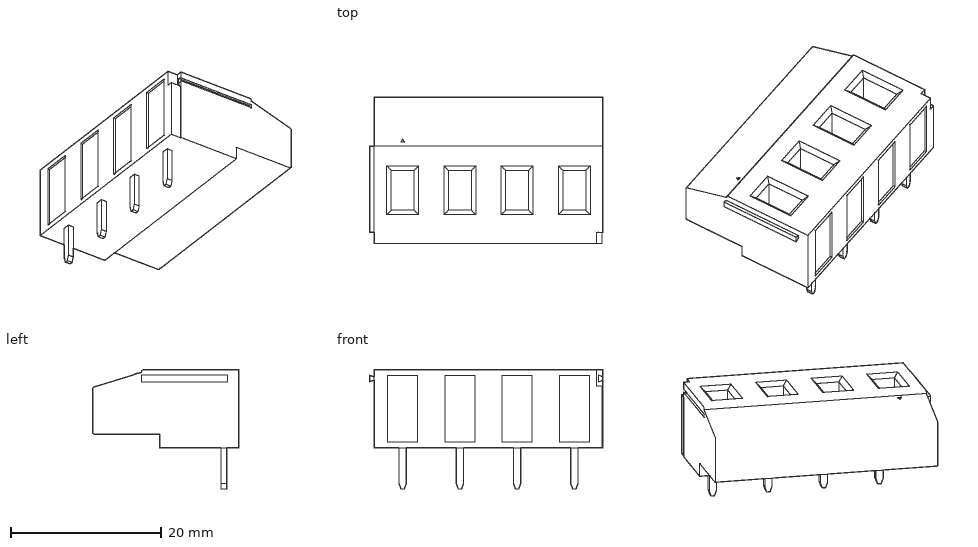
import cadquery as cq


pole_count = 4
pitch = 7.62
length = pole_count * pitch
left_x = -length / 2
right_x = length / 2
pole_xs = [left_x + (i + 0.5) * pitch for i in range(pole_count)]

depth = 19.5
height = 10.4
plate_thickness = 1.5
base_depth = 10.55
overhang_z = 1.8
back_top_z = 8.05
shoulder_y = 13.0
shoulder_z = 10.05
edge_radius = 0.3

plate_inset = 0.1
notch_width = 0.75
notch_height = 2.2

window_width = 4.0
window_margin = 0.75
window_depth = 0.3

opening_width = 4.25
opening_length = 6.5
opening_front_y = 3.85
opening_taper = 0.6
opening_depth = 5.0

dovetail_reach = 0.6
dovetail_wide = 0.9
dovetail_narrow = 0.45
dovetail_drop = 1.17
dovetail_center_z = height - dovetail_drop

pin_width = 1.0
pin_thickness = 0.8
pin_front_y = 1.6
pin_length = 5.5
pin_tip_width = 0.45
pin_tip_length = 0.75

mark_base = 0.5
mark_length = 0.4
mark_front_y = 13.5
mark_height = 0.06


def make_housing():
    """Main body behind the front plate, extruded along X."""
    profile = [
        (plate_thickness, 0),
        (base_depth, 0),
        (base_depth, overhang_z),
        (depth, overhang_z),
        (depth, back_top_z),
        (shoulder_y, shoulder_z),
        (shoulder_y, height),
        (plate_thickness, height),
    ]
    housing = cq.Workplane("YZ", origin=(left_x, 0, 0)).polyline(profile).close().extrude(length)
    rounded_corners = [(shoulder_y, height), (depth, back_top_z), (depth, overhang_z)]
    for y, z in rounded_corners:
        housing = housing.edges(cq.NearestToPointSelector((0, y, z))).fillet(edge_radius)
    return housing


def make_front_plate():
    """Front plate, slightly shorter than the body, notched at its upper right corner."""
    plate_length = length - plate_inset
    plate = cq.Workplane("XY").box(plate_length, plate_thickness, height, centered=False)
    notch = (
        cq.Workplane("XY")
        .box(notch_width, plate_thickness, notch_height, centered=False)
        .translate((plate_length - notch_width, 0, height - notch_height))
    )
    return plate.cut(notch).translate((left_x, 0, 0))


def make_window(x):
    """Shallow rectangular recess in the front face."""
    window_height = height - 2 * window_margin
    return (
        cq.Workplane("XY")
        .box(window_width, window_depth, window_height, centered=(True, False, False))
        .translate((x, 0, window_margin))
    )


def make_opening(x):
    """Rectangular screw opening with a 45 degree lead-in."""
    center_y = opening_front_y + opening_length / 2
    inner_width = opening_width - 2 * opening_taper
    inner_length = opening_length - 2 * opening_taper
    rim = cq.Workplane("XY", origin=(x, center_y, height))
    lead_in = (
        rim.rect(opening_width, opening_length)
        .workplane(offset=-opening_taper)
        .rect(inner_width, inner_length)
        .loft(ruled=True)
    )
    shaft = rim.rect(inner_width, inner_length).extrude(-opening_depth)
    return lead_in.union(shaft)


def make_dovetail(face_x):
    """Dovetail bar, narrow at the plane x = face_x and widening toward -X."""
    bar_length = shoulder_y - plate_thickness
    profile = [
        (face_x, dovetail_center_z - dovetail_narrow / 2),
        (face_x, dovetail_center_z + dovetail_narrow / 2),
        (face_x - dovetail_reach, dovetail_center_z + dovetail_wide / 2),
        (face_x - dovetail_reach, dovetail_center_z - dovetail_wide / 2),
    ]
    plane = cq.Workplane("XZ", origin=(0, plate_thickness, 0))
    return plane.polyline(profile).close().extrude(-bar_length)


def make_pin(x):
    """Flat solder pin below the housing, tapered at its tip."""
    taper_z = pin_tip_length - pin_length
    profile = [
        (x - pin_width / 2, 0),
        (x - pin_width / 2, taper_z),
        (x - pin_tip_width / 2, -pin_length),
        (x + pin_tip_width / 2, -pin_length),
        (x + pin_width / 2, taper_z),
        (x + pin_width / 2, 0),
    ]
    plane = cq.Workplane("XZ", origin=(0, pin_front_y, 0))
    return plane.polyline(profile).close().extrude(-pin_thickness)


def make_mark(x):
    """Triangle standing on the sloped roof, its point toward the back."""
    roof_slope = (shoulder_z - back_top_z) / (depth - shoulder_y)
    base_z = shoulder_z - roof_slope * (mark_front_y - shoulder_y)
    roof = cq.Plane(
        origin=(x, mark_front_y, base_z),
        xDir=(1, 0, 0),
        normal=(0, roof_slope, 1),
    )
    outline = [(-mark_base / 2, 0), (mark_base / 2, 0), (0, mark_length)]
    return cq.Workplane(roof).polyline(outline).close().extrude(mark_height)


result = make_housing().union(make_front_plate())
result = result.union(make_dovetail(left_x)).cut(make_dovetail(right_x))
for pole_x in pole_xs:
    result = result.cut(make_window(pole_x)).cut(make_opening(pole_x)).union(make_pin(pole_x))
result = result.union(make_mark(pole_xs[0]))